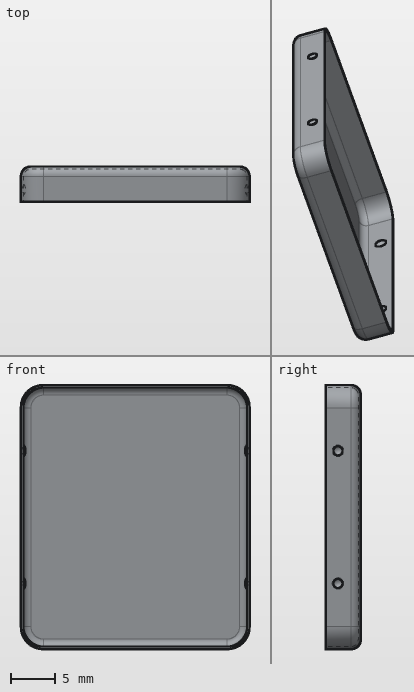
import cadquery as cq

width = 25.9
depth = 4.0
height = 29.9
wall = 0.3
corner_radius = 2.6
floor_edge_radius = 1.15

detent_spacing = 15.0
detent_from_rim = 1.4
dent_mouth_radius = 0.52
dent_depth = 0.25
dent_sphere_radius = (dent_mouth_radius**2 + dent_depth**2) / (2 * dent_depth)
bump_sphere_radius = dent_sphere_radius + wall


def rounded_block(inset):
    """Block with rounded corners and floor edge, offset inward by the inset except at the rim."""
    block = cq.Workplane("XY").box(width - 2 * inset, depth - inset, height - 2 * inset)
    block = block.translate((0, (depth - inset) / 2, 0))
    block = block.edges("|Y").fillet(corner_radius - inset)
    return block.faces(">Y").edges().fillet(floor_edge_radius - inset)


def detent_sphere(side, level, radius):
    """Sphere about the centre of one detent, just outside the left (-1) or right (+1) wall."""
    centre_x = side * (width / 2 + dent_sphere_radius - dent_depth)
    centre_z = level * detent_spacing / 2
    return cq.Workplane("YZ").sphere(radius).translate((centre_x, detent_from_rim, centre_z))


outer = rounded_block(0)
cavity = rounded_block(wall)
result = outer.cut(cavity)

for side in (-1, 1):
    for level in (-1, 1):
        bump = detent_sphere(side, level, bump_sphere_radius).intersect(outer)
        dent = detent_sphere(side, level, dent_sphere_radius)
        result = result.union(bump).cut(dent)